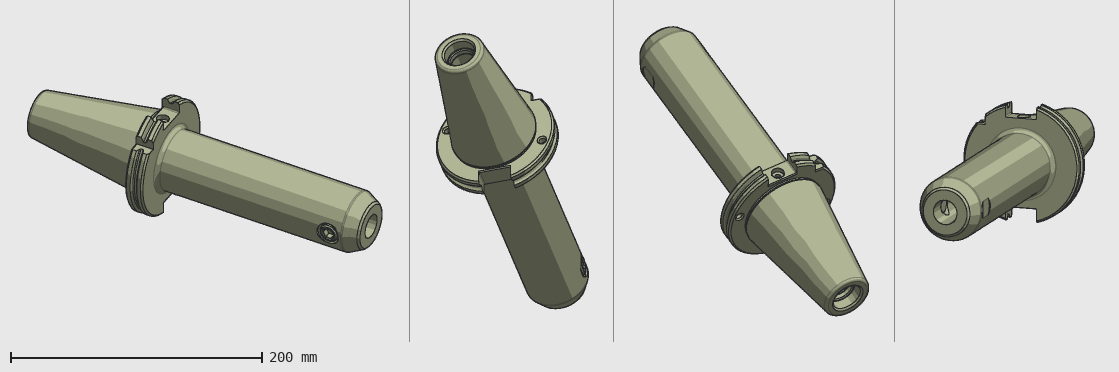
import cadquery as cq
import math

LENGTH = 301.8

TAPER_END_X = 102.0
TAPER_SMALL_RADIUS = 20.2
TAPER_LARGE_RADIUS = 35.0
TAPER_END_ROUND = 2.5
NECK_RADIUS = TAPER_LARGE_RADIUS - 0.5
NECK_BEVEL = 1.5
FLANGE_START_X = 105.0
FLANGE_WIDTH = 15.7
FLANGE_END_X = FLANGE_START_X + FLANGE_WIDTH
FLANGE_RADIUS = 97.5 / 2
FLANGE_CHAMFER = 1.5

GROOVE_X = 113.0
GROOVE_TOP_WIDTH = 6.0
GROOVE_FLOOR_WIDTH = 1.8
GROOVE_FLOOR_RADIUS = 45.5
GROOVE_FLOOR_BEVEL = 1.0

SHANK_RADIUS = 26.0
SHANK_ROOT_FILLET = 3.5
NOSE_LENGTH = 13.5
NOSE_BREAK_LENGTH = 1.2
NOSE_BREAK_DROP = 0.3
NOSE_RADIUS = 20.2
NOSE_CHAMFER = 1.8

BORE_RADIUS = 10.0
MOUTH_RADIUS = 12.5
MOUTH_DEPTH = 10.0
MOUTH_CHAMFER = 1.5
STEP_RADIUS = 10.5
STEP_DEPTH = 4.5
STEP_CHAMFER = 1.0

SLOT_WIDTH = 26.3
UPPER_SLOT_FLOOR_Z = 37.5
LOWER_SLOT_FLOOR_Z = -35.5
NOTCH_DISTANCE = 30.2
SLOT_CORNER_FILLET = 1.0
FLOOR_BEVEL = 1.0

CHIP_RADIUS = 5.0
CHIP_DEPTH = 4.5
CHIP_PILOT_RADIUS = 2.5
CHIP_PILOT_DEPTH = 3.0
CHIP_TAIL_RADIUS = 1.2
CHIP_TAIL_DEPTH = 3.0

COOLANT_CIRCLE_RADIUS = 41.5
COOLANT_ANGLE = 20.0
COOLANT_SINK_RADIUS = 4.0
COOLANT_HOLE_RADIUS = 2.7
COOLANT_HOLE_DEPTH = 6.0
COOLANT_PILOT_RADIUS = 1.5
COOLANT_PILOT_DEPTH = 3.0

SCREW_X = LENGTH - 25.3
SCREW_RADIUS = 7.8
SCREW_TOP_Y = -25.3
SCREW_TIP_Y = -10.3
SCREW_CHAMFER = 1.2
SOCKET_ACROSS_FLATS = 8.0
SOCKET_DEPTH = 6.0
SOCKET_SINK_RADIUS = 5.5
SOCKET_SINK_DEPTH = 1.0

SINK_RADIUS = 9.7
FLAT_SPOT_RADIUS = 9.0
FLAT_SPOT_Y = 25.0


def make_blank():
    """Revolve the outside of the holder about the X axis."""
    half_floor = GROOVE_FLOOR_WIDTH / 2
    profile = (
        cq.Workplane("XY")
        .moveTo(0, 0)
        .lineTo(0, TAPER_SMALL_RADIUS - TAPER_END_ROUND)
        .radiusArc((TAPER_END_ROUND, TAPER_SMALL_RADIUS), TAPER_END_ROUND)
        .lineTo(TAPER_END_X, TAPER_LARGE_RADIUS)
        .lineTo(TAPER_END_X + NECK_BEVEL, NECK_RADIUS)
        .lineTo(FLANGE_START_X, NECK_RADIUS)
        .lineTo(FLANGE_START_X, FLANGE_RADIUS - FLANGE_CHAMFER)
        .lineTo(FLANGE_START_X + FLANGE_CHAMFER, FLANGE_RADIUS)
        .lineTo(GROOVE_X - GROOVE_TOP_WIDTH / 2, FLANGE_RADIUS)
        .lineTo(GROOVE_X - half_floor - GROOVE_FLOOR_BEVEL, GROOVE_FLOOR_RADIUS + GROOVE_FLOOR_BEVEL)
        .lineTo(GROOVE_X - half_floor, GROOVE_FLOOR_RADIUS)
        .lineTo(GROOVE_X + half_floor, GROOVE_FLOOR_RADIUS)
        .lineTo(GROOVE_X + half_floor + GROOVE_FLOOR_BEVEL, GROOVE_FLOOR_RADIUS + GROOVE_FLOOR_BEVEL)
        .lineTo(GROOVE_X + GROOVE_TOP_WIDTH / 2, FLANGE_RADIUS)
        .lineTo(FLANGE_END_X - FLANGE_CHAMFER, FLANGE_RADIUS)
        .lineTo(FLANGE_END_X, FLANGE_RADIUS - FLANGE_CHAMFER)
        .lineTo(FLANGE_END_X, SHANK_RADIUS + SHANK_ROOT_FILLET)
        .radiusArc((FLANGE_END_X + SHANK_ROOT_FILLET, SHANK_RADIUS), -SHANK_ROOT_FILLET)
        .lineTo(LENGTH - NOSE_LENGTH, SHANK_RADIUS)
        .lineTo(LENGTH - NOSE_LENGTH + NOSE_BREAK_LENGTH, SHANK_RADIUS - NOSE_BREAK_DROP)
        .lineTo(LENGTH - NOSE_CHAMFER, NOSE_RADIUS)
        .lineTo(LENGTH, NOSE_RADIUS - NOSE_CHAMFER)
        .lineTo(LENGTH, 0)
        .close()
    )
    return profile.revolve(360, (0, 0, 0), (1, 0, 0))


def cylinder_x(radius, start_x, length):
    return cq.Workplane("YZ", origin=(start_x, 0, 0)).circle(radius).extrude(length)


def chamfered_cylinder_x(radius, start_x, length, chamfer):
    """Cylinder along X that widens by the chamfer at its start."""
    start = cq.Vector(start_x, 0, 0)
    cone = cq.Solid.makeCone(radius + chamfer, radius, chamfer, start, cq.Vector(1, 0, 0))
    return cylinder_x(radius, start_x, length).union(cq.Workplane(cone))


def make_bore():
    bore = cylinder_x(BORE_RADIUS, 0, LENGTH)
    step = chamfered_cylinder_x(STEP_RADIUS, MOUTH_DEPTH, STEP_DEPTH, STEP_CHAMFER)
    mouth = chamfered_cylinder_x(MOUTH_RADIUS, 0, MOUTH_DEPTH, MOUTH_CHAMFER)
    return bore.union(step).union(mouth)


def floor_cutter(floor_z, y_min, y_max):
    """Cut across the flange down to floor_z, with the taper-side edge of the floor bevelled."""
    return (
        cq.Workplane("XZ", origin=(0, y_max, 0))
        .moveTo(FLANGE_START_X, FLANGE_RADIUS)
        .lineTo(FLANGE_START_X, floor_z - FLOOR_BEVEL)
        .lineTo(FLANGE_START_X + FLOOR_BEVEL, floor_z)
        .lineTo(FLANGE_END_X, floor_z)
        .lineTo(FLANGE_END_X, FLANGE_RADIUS)
        .close()
        .extrude(y_max - y_min)
    )


def slot_cutter(floor_z):
    """Driving slot with rounded corners between its floor and its walls."""
    slot = floor_cutter(floor_z, -SLOT_WIDTH / 2, SLOT_WIDTH / 2)
    return slot.edges("|X").edges("<Z").fillet(SLOT_CORNER_FILLET)


def make_flange_cuts():
    upper_slot = slot_cutter(UPPER_SLOT_FLOOR_Z)
    lower_slot = slot_cutter(-LOWER_SLOT_FLOOR_Z).mirror("XY")
    notch = floor_cutter(NOTCH_DISTANCE, -FLANGE_RADIUS, -NOTCH_DISTANCE)
    return upper_slot.union(lower_slot).union(notch)


def make_chip_pocket():
    pilot_end = CHIP_DEPTH + CHIP_PILOT_DEPTH
    floor = cq.Workplane("XY", origin=(GROOVE_X, 0, UPPER_SLOT_FLOOR_Z))
    pocket = floor.circle(CHIP_RADIUS).extrude(-CHIP_DEPTH)
    pilot = floor.circle(CHIP_PILOT_RADIUS).extrude(-pilot_end)
    tail = floor.circle(CHIP_TAIL_RADIUS).extrude(-pilot_end - CHIP_TAIL_DEPTH)
    return pocket.union(pilot).union(tail)


def make_coolant_hole(angle):
    """Countersunk stepped hole at the given angle from the Y axis."""
    y = COOLANT_CIRCLE_RADIUS * math.cos(math.radians(angle))
    z = COOLANT_CIRCLE_RADIUS * math.sin(math.radians(angle))
    mouth = cq.Vector(FLANGE_START_X, y, z)
    inward = cq.Vector(1, 0, 0)
    sink_depth = COOLANT_SINK_RADIUS - COOLANT_HOLE_RADIUS
    pilot_end = COOLANT_HOLE_DEPTH + COOLANT_PILOT_DEPTH
    sink = cq.Solid.makeCone(COOLANT_SINK_RADIUS, COOLANT_HOLE_RADIUS, sink_depth, mouth, inward)
    hole = cq.Solid.makeCylinder(COOLANT_HOLE_RADIUS, COOLANT_HOLE_DEPTH, mouth, inward)
    pilot = cq.Solid.makeCylinder(COOLANT_PILOT_RADIUS, pilot_end, mouth, inward)
    return cq.Workplane(sink.fuse(hole, pilot))


def make_screw_hole():
    """Countersunk hole from the -Y side of the shank into the bore."""
    mouth = cq.Vector(SCREW_X, -SHANK_RADIUS, 0)
    inward = cq.Vector(0, 1, 0)
    rim_depth = SHANK_RADIUS - math.sqrt(SHANK_RADIUS**2 - SINK_RADIUS**2)
    rim = cq.Solid.makeCylinder(SINK_RADIUS, rim_depth, mouth, inward)
    cone_top = mouth + inward * rim_depth
    cone = cq.Solid.makeCone(SINK_RADIUS, SCREW_RADIUS, SINK_RADIUS - SCREW_RADIUS, cone_top, inward)
    hole = cq.Solid.makeCylinder(SCREW_RADIUS, SHANK_RADIUS, mouth, inward)
    return cq.Workplane(rim.fuse(cone, hole))


def make_flat_spot():
    """Shallow round flat on the side of the shank opposite the screw."""
    return (
        cq.Workplane("XZ", origin=(SCREW_X, SHANK_RADIUS, 0))
        .circle(FLAT_SPOT_RADIUS)
        .extrude(SHANK_RADIUS - FLAT_SPOT_Y)
    )


def make_holder():
    return (
        make_blank()
        .cut(make_bore())
        .cut(make_flange_cuts())
        .cut(make_chip_pocket())
        .cut(make_coolant_hole(COOLANT_ANGLE))
        .cut(make_coolant_hole(COOLANT_ANGLE + 180))
        .cut(make_screw_hole())
        .cut(make_flat_spot())
    )


def make_clamping_screw():
    """Headless screw with a countersunk hexagon socket in its outer end."""
    head = cq.Workplane("XZ", origin=(SCREW_X, SCREW_TOP_Y, 0))
    shaft = head.circle(SCREW_RADIUS).extrude(SCREW_TOP_Y - SCREW_TIP_Y)
    shaft = shaft.faces("<Y or >Y").chamfer(SCREW_CHAMFER)
    across_corners = SOCKET_ACROSS_FLATS / math.cos(math.pi / 6)
    socket = head.polygon(6, across_corners).extrude(-SOCKET_DEPTH)
    socket_mouth = cq.Vector(SCREW_X, SCREW_TOP_Y, 0)
    sink = cq.Solid.makeCone(
        SOCKET_SINK_RADIUS,
        SOCKET_SINK_RADIUS - SOCKET_SINK_DEPTH,
        SOCKET_SINK_DEPTH,
        socket_mouth,
        cq.Vector(0, 1, 0),
    )
    return shaft.cut(socket).cut(cq.Workplane(sink))


holder = make_holder()
clamping_screw = make_clamping_screw()

result = cq.Compound.makeCompound([holder.val(), clamping_screw.val()])